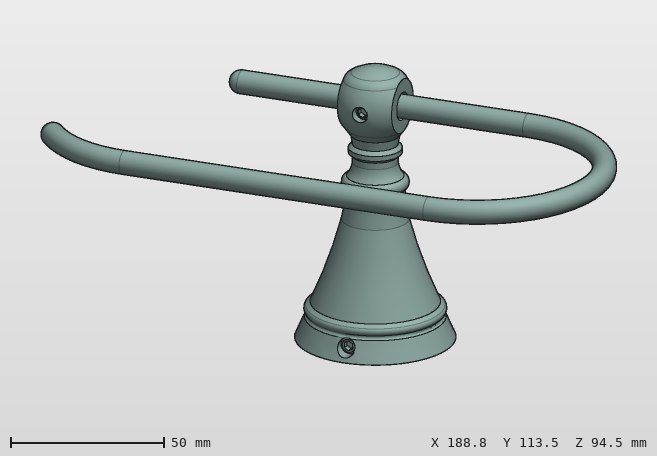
import cadquery as cq
import math


foot_radius = 26.5
cone_top_radius = 23.3
cone_top_z = 7.4
rim_radius = 23.5
rim_edge_radius = 22.9
groove_radius = 22.7
rim_bottom_z = 8.9
rim_top_z = 11.3
flare_bottom_radius = 21.4
flare_bottom_z = 12.5
flare_mid_radius = 15.5
flare_mid_z = 27.0
flare_top_radius = 11.2
flare_top_z = 41.4
shank_mid_radius = 10.2
shank_mid_z = 46.9
shank_top_radius = 9.8
shank_top_z = 52.2
collar_radius = 11.2
collar_mid_z = 54.3
joint_radius = 9.5
joint_z = 56.5

neck_radius = 7.5
neck_flare_mid_radius = 8.1
neck_flare_mid_z = 58.8
neck_flare_top_z = 61.2
bead_radius = 8.9
bead_bottom_z = 63.5
bead_lower_z = 64.7
bead_upper_z = 66.4
bead_top_z = 67.7
throat_z = 70.9
throat_radius = 8.1
ball_radius = 13.2
ball_z = 82.0
ball_bottom_z = 73.3
shoulder_z = 90.0
shoulder_mid_radius = 9.5
shoulder_mid_z = 91.5
crown_radius = 8.0
crown_height = 2.0
top_z = 94.5
ball_flat_offset = 9.6

bar_radius = 4.0
bar_hole_chamfer = 0.8
bar_half_straight = 54.0
bar_short_end_x = -47.6
bend_radius = 41.5
hook_radius = 40.8
hook_angle = 50.2

foot_screw_radius = 3.0
foot_screw_z = 4.5
foot_screw_face = 22.3
foot_screw_length = 7.5
ball_screw_radius = 2.6
ball_screw_face = 10.5
screw_chamfer = 0.8
socket_depth = 2.3
socket_corner_diameter = 3.4
socket_turn = 30


def disc_on_front(radius, distance, z):
    """Circle facing -Y, at the given distance in front of the Z axis."""
    return cq.Workplane("XZ", origin=(0, -distance, z)).circle(radius)


def make_set_screw(radius, face, length, z):
    """Headless screw with a chamfered outer end and a hexagon socket."""
    screw = disc_on_front(radius, face, z).extrude(-length)
    screw = screw.faces("<Y").chamfer(screw_chamfer)
    socket = (
        cq.Workplane("XZ", origin=(0, -face, z))
        .polygon(6, socket_corner_diameter)
        .extrude(-socket_depth)
        .rotate((0, 0, z), (0, 1, z), socket_turn)
    )
    return screw.cut(socket)


def make_foot():
    groove_mid_z = (cone_top_z + rim_bottom_z) / 2
    rim_mid_z = (rim_bottom_z + rim_top_z) / 2
    profile = (
        cq.Workplane("XZ")
        .moveTo(0, 0)
        .lineTo(foot_radius, 0)
        .lineTo(cone_top_radius, cone_top_z)
        .threePointArc((groove_radius, groove_mid_z), (rim_edge_radius, rim_bottom_z))
        .threePointArc((rim_radius, rim_mid_z), (rim_edge_radius, rim_top_z))
        .lineTo(flare_bottom_radius, flare_bottom_z)
        .threePointArc((flare_mid_radius, flare_mid_z), (flare_top_radius, flare_top_z))
        .threePointArc((shank_mid_radius, shank_mid_z), (shank_top_radius, shank_top_z))
        .threePointArc((collar_radius, collar_mid_z), (joint_radius, joint_z))
        .lineTo(0, joint_z)
        .close()
    )
    foot = profile.revolve(360, (0, 0, 0), (0, 1, 0))
    screw_hole_floor = foot_screw_face - foot_screw_length
    screw_hole = disc_on_front(foot_screw_radius, foot_radius, foot_screw_z).extrude(
        screw_hole_floor - foot_radius
    )
    return foot.cut(screw_hole)


def sphere_radius_at(z):
    return math.sqrt(ball_radius**2 - (z - ball_z) ** 2)


def make_bar_hole():
    """Cross hole that fits the bar, chamfered where it meets the two flats."""
    mouth_radius = bar_radius + bar_hole_chamfer
    chamfer_start = ball_flat_offset - bar_hole_chamfer
    profile = (
        cq.Workplane("XY")
        .moveTo(-ball_flat_offset, 0)
        .lineTo(-ball_flat_offset, mouth_radius)
        .lineTo(-chamfer_start, bar_radius)
        .lineTo(chamfer_start, bar_radius)
        .lineTo(ball_flat_offset, mouth_radius)
        .lineTo(ball_flat_offset, 0)
        .close()
    )
    return profile.revolve(360, (0, 0, 0), (1, 0, 0)).translate((0, 0, ball_z))


def make_post():
    ball_bottom_radius = sphere_radius_at(ball_bottom_z)
    shoulder_radius = sphere_radius_at(shoulder_z)
    crown_z = top_z - crown_height
    crown_sphere = (crown_radius**2 + crown_height**2) / (2 * crown_height)
    crown_mid_radius = crown_radius / 2
    crown_mid_z = top_z - crown_sphere + math.sqrt(crown_sphere**2 - crown_mid_radius**2)
    profile = (
        cq.Workplane("XZ")
        .moveTo(0, joint_z)
        .lineTo(joint_radius, joint_z)
        .threePointArc((neck_flare_mid_radius, neck_flare_mid_z), (neck_radius, neck_flare_top_z))
        .lineTo(neck_radius, bead_bottom_z)
        .lineTo(bead_radius, bead_lower_z)
        .lineTo(bead_radius, bead_upper_z)
        .lineTo(neck_radius, bead_top_z)
        .lineTo(throat_radius, throat_z)
        .lineTo(ball_bottom_radius, ball_bottom_z)
        .threePointArc((ball_radius, ball_z), (shoulder_radius, shoulder_z))
        .threePointArc((shoulder_mid_radius, shoulder_mid_z), (crown_radius, crown_z))
        .threePointArc((crown_mid_radius, crown_mid_z), (0, top_z))
        .close()
    )
    post = profile.revolve(360, (0, 0, 0), (0, 1, 0))
    between_flats = cq.Workplane("XY").box(2 * ball_flat_offset, 4 * ball_radius, 2 * top_z)
    screw_hole = disc_on_front(ball_screw_radius, ball_radius, ball_z).extrude(-ball_radius)
    return post.intersect(between_flats).cut(make_bar_hole()).cut(screw_hole)


def make_bar():
    hook = math.radians(hook_angle)
    hook_start = (-bar_half_straight, -2 * bend_radius)

    def hook_point(angle):
        x = hook_start[0] - hook_radius * math.sin(angle)
        y = hook_start[1] + hook_radius * (1 - math.cos(angle))
        return (x, y)

    path = (
        cq.Workplane("XY", origin=(0, 0, ball_z))
        .moveTo(bar_short_end_x, 0)
        .lineTo(bar_half_straight, 0)
        .threePointArc(
            (bar_half_straight + bend_radius, -bend_radius),
            (bar_half_straight, -2 * bend_radius),
        )
        .lineTo(*hook_start)
        .threePointArc(hook_point(hook / 2), hook_point(hook))
    )
    section = cq.Workplane("YZ", origin=(bar_short_end_x, 0, ball_z)).circle(bar_radius)
    bar = section.sweep(path)
    for x, y in [(bar_short_end_x, 0), hook_point(hook)]:
        round_end = cq.Workplane("XY").sphere(bar_radius).translate((x, y, ball_z))
        bar = bar.union(round_end)
    return bar


foot = make_foot()
post = make_post()
bar = make_bar()
foot_screw = make_set_screw(foot_screw_radius, foot_screw_face, foot_screw_length, foot_screw_z)
ball_screw = make_set_screw(ball_screw_radius, ball_screw_face, ball_screw_face - bar_radius, ball_z)

result = cq.Compound.makeCompound(
    [foot.val(), post.val(), bar.val(), foot_screw.val(), ball_screw.val()]
)